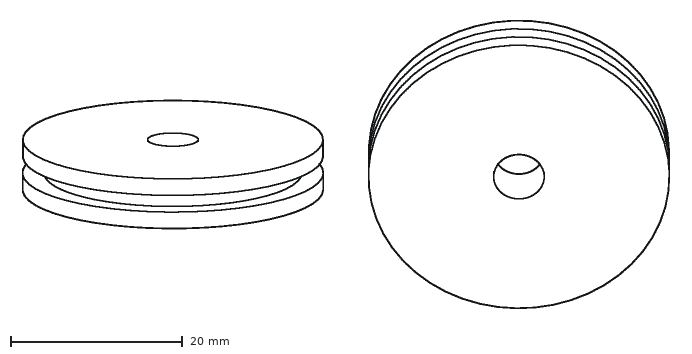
import cadquery as cq

lower_rim_diameter = 35.0
upper_rim_diameter = 34.93
groove_diameter = 30.0
bore_diameter = 5.88
wheel_thickness = 6.0
groove_width = wheel_thickness / 3
flange_thickness = (wheel_thickness - groove_width) / 2


def disc(diameter, thickness, bottom):
    """Solid disc on the wheel axis, rising from the given height."""
    return cq.Workplane("XY").workplane(offset=bottom).circle(diameter / 2).extrude(thickness)


lower_flange = disc(lower_rim_diameter, flange_thickness, -wheel_thickness / 2)
hub = disc(groove_diameter, wheel_thickness, -wheel_thickness / 2)
upper_flange = disc(upper_rim_diameter, flange_thickness, groove_width / 2)
bore = disc(bore_diameter, wheel_thickness, -wheel_thickness / 2)

result = lower_flange.union(hub).union(upper_flange).cut(bore)